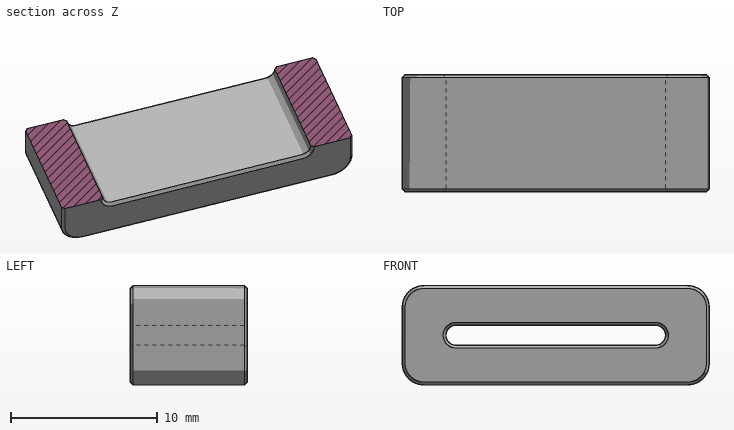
import cadquery as cq

length = 21.0
depth = 8.0
height = 6.8
corner_radius = 1.5

slot_length = 15.0
slot_height = 1.35

edge_chamfer = 0.2

block = cq.Workplane("XY").box(length, depth, height).edges("|Y").fillet(corner_radius)

slot = cq.Workplane("XZ").slot2D(slot_length, slot_height).extrude(depth / 2, both=True)

result = block.cut(slot).faces("<Y or >Y").edges().chamfer(edge_chamfer)